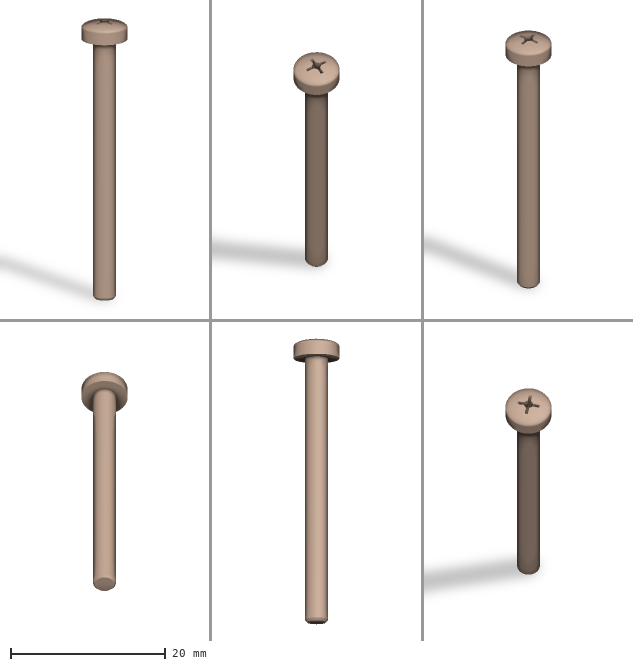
import cadquery as cq
import math

total_length = 37.4
head_radius = 3.0
shank_radius = 1.5

head_height = 2.4
dome_rise = 0.8

tip_height = 0.35
tip_inset = 0.25

recess_depth = 1.5
core_width = 1.25
core_diagonal_width = 1.12
arm_reach = 1.55
arm_width = 0.4

head_bottom = total_length - head_height
dome_base = total_length - dome_rise

rim_radius = core_diagonal_width / 2
dome_height = dome_rise / math.sqrt(1 - (rim_radius / head_radius) ** 2)


def make_body():
    """Revolve the shank and the half-elliptical head dome about Z."""
    profile = (
        cq.Workplane("XZ")
        .lineTo(shank_radius - tip_inset, 0)
        .lineTo(shank_radius, tip_height)
        .lineTo(shank_radius, head_bottom)
        .lineTo(head_radius, head_bottom)
        .lineTo(head_radius, dome_base)
        .ellipseArc(head_radius, dome_height, 0, 90)
        .close()
    )
    return profile.revolve(360, (0, 0), (0, 1))


def make_recess():
    """Eight-sided core crossed by two blades whose ends slope in to the core's floor."""
    floor_z = total_length - recess_depth
    cut_top = dome_base + dome_height
    cut_height = cut_top - floor_z
    floor_plane = cq.Workplane("XY", origin=(0, 0, floor_z))

    square = floor_plane.rect(core_width, core_width).extrude(cut_height)
    diamond = floor_plane.rect(core_diagonal_width, core_diagonal_width).extrude(cut_height)
    recess = square.intersect(diamond.rotate((0, 0, 0), (0, 0, 1), 45))

    core_reach = core_width / 2
    blade = (
        cq.Workplane("XZ")
        .polyline(
            [
                (-core_reach, floor_z),
                (core_reach, floor_z),
                (arm_reach, cut_top),
                (-arm_reach, cut_top),
            ]
        )
        .close()
        .extrude(arm_width / 2, both=True)
    )
    for turn in (0, 90):
        recess = recess.union(blade.rotate((0, 0, 0), (0, 0, 1), turn))
    return recess


result = make_body().cut(make_recess())